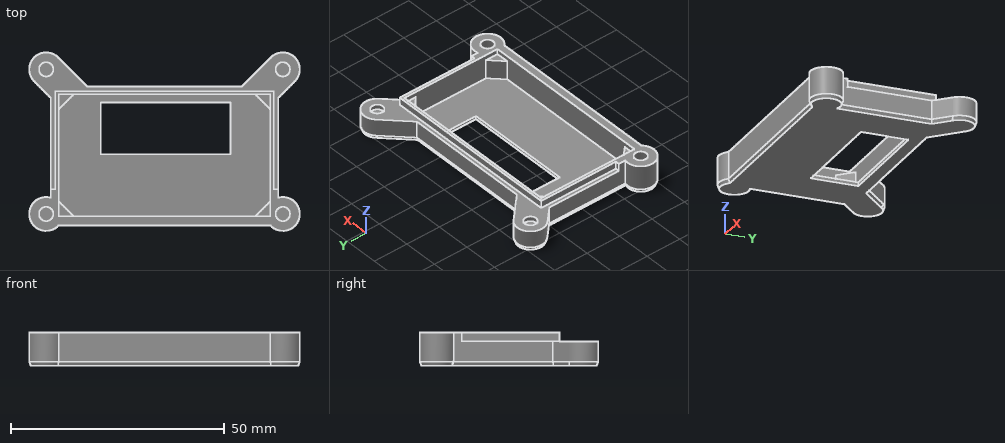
import cadquery as cq
import math

length = 63.55
width = 41.95
height = 7.9
ledge_height = 5.8

post_radius = 4.0
hole_diameter = 3.4
hole_floor = 4.4
post_x = length / 2 - post_radius
post_y = width / 2 - post_radius
arm_length = 10.2
arm_angle = 45.0

body_half_x = 26.75
body_front = -19.7
body_rear = 12.95
ledge_width = 1.1
ledge_front = -11.1
foot_inset = 0.4
foot_height = 1.0

floor_thickness = 0.95
cavity_half_x = 24.85
cavity_front = -17.55
cavity_rear = 11.1
gusset_leg = 3.55
gusset_top = 6.35

window_left = -14.95
window_right = 15.45
window_front = -2.9
window_rear = 9.15


def box_between(x_limits, y_limits, z_limits):
    """Axis-aligned block given by its limits along each axis."""
    size = [high - low for low, high in (x_limits, y_limits, z_limits)]
    corner = (x_limits[0], y_limits[0], z_limits[0])
    return cq.Workplane("XY").box(*size, centered=False).translate(corner)


def raise_on_foot(outline):
    """Extrude a closed outline to full height, narrowed towards the bottom by the bevel."""
    bevel_angle = math.degrees(math.atan2(foot_inset, foot_height))
    foot = outline.extrude(-foot_height, taper=bevel_angle)
    wall = outline.toPending().extrude(height - foot_height)
    return wall.union(foot).translate((0, 0, foot_height))


def body():
    size_y = body_rear - body_front
    centre_y = (body_rear + body_front) / 2
    return raise_on_foot(cq.Workplane("XY").center(0, centre_y).rect(2 * body_half_x, size_y))


def post(x, y):
    return raise_on_foot(cq.Workplane("XY").center(x, y).circle(post_radius))


def rear_arm(side):
    """Straight arm running diagonally from a rear post into the body."""
    arm = raise_on_foot(cq.Workplane("XY").rect(arm_length, 2 * post_radius))
    arm = arm.translate((arm_length / 2, 0, 0))
    arm = arm.rotate((0, 0, 0), (0, 0, 1), -arm_angle)
    arm = arm.translate((-post_x, post_y, 0))
    return arm if side < 0 else arm.mirror("YZ")


def solid_blank():
    """Body, arms and posts at full height, bevelled around the bottom."""
    blank = body()
    for side in (-1, 1):
        blank = blank.union(post(side * post_x, -post_y))
        blank = blank.union(post(side * post_x, post_y))
        blank = blank.union(rear_arm(side))
    return blank.clean()


def ledge_cut():
    """Material removed above the ledge, outside the raised rim."""
    rim_half_x = body_half_x - ledge_width
    rim_rear = body_rear - ledge_width
    z_limits = (ledge_height, height)
    around = box_between((-length / 2, length / 2), (ledge_front, width / 2), z_limits)
    rim = box_between((-rim_half_x, rim_half_x), (ledge_front, rim_rear), z_limits)
    return around.cut(rim)


def corner_gusset(x, y):
    """Triangular support in the cavity corner at (x, y)."""
    leg_x = -gusset_leg if x > 0 else gusset_leg
    leg_y = -gusset_leg if y > 0 else gusset_leg
    triangle = cq.Workplane("XY").workplane(offset=floor_thickness)
    triangle = triangle.polyline([(x, y), (x + leg_x, y), (x, y + leg_y)]).close()
    return triangle.extrude(gusset_top - floor_thickness)


def cavity():
    pocket = box_between(
        (-cavity_half_x, cavity_half_x), (cavity_front, cavity_rear), (floor_thickness, height)
    )
    for x in (-cavity_half_x, cavity_half_x):
        for y in (cavity_front, cavity_rear):
            pocket = pocket.cut(corner_gusset(x, y))
    return pocket


def post_holes():
    centres = [(x, y) for x in (-post_x, post_x) for y in (-post_y, post_y)]
    holes = cq.Workplane("XY").workplane(offset=hole_floor).pushPoints(centres)
    return holes.circle(hole_diameter / 2).extrude(height - hole_floor)


window = box_between(
    (window_left, window_right), (window_front, window_rear), (0, floor_thickness)
)

result = solid_blank().cut(ledge_cut()).cut(cavity()).cut(post_holes()).cut(window)